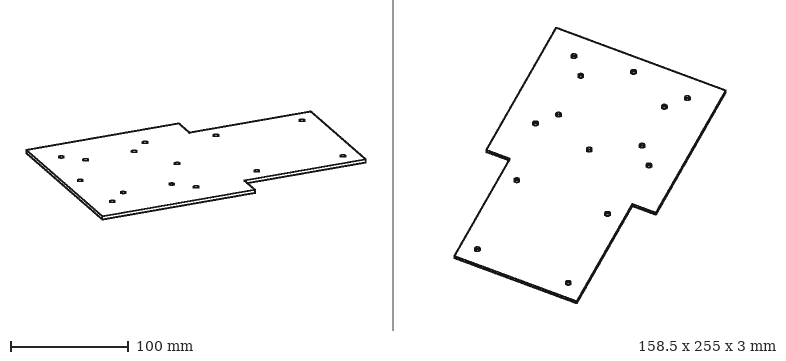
import cadquery as cq

length = 255.0
body_width = 158.5
body_length = 142.0
neck_width = 114.5
thickness = 3.0

hole_diameter = 4.5

pattern_center_y = 60.0
ring_radius = 45.1
ring_hole_count = 6
body_hole_spacing_x = 106.0
body_hole_spacing_y = 78.0

neck_hole_spacing_x = 85.0
neck_hole_spacing_y = 80.0
neck_hole_end_margin = 14.8
neck_hole_center_y = length - neck_hole_end_margin - neck_hole_spacing_y / 2


def make_plate():
    """Plate centred on X, with its -Y edge at Y = 0 and its underside at Z = 0."""
    body = cq.Workplane("XY").rect(body_width, body_length).extrude(thickness)
    body = body.translate((0, body_length / 2, 0))
    neck = cq.Workplane("XY").rect(neck_width, length).extrude(thickness)
    neck = neck.translate((0, length / 2, 0))
    return body.union(neck)


def hole_plane(center_y):
    return cq.Workplane("XY", origin=(0, center_y, 0))


def corner_holes(center_y, spacing_x, spacing_y):
    """Four cutting cylinders at the corners of a rectangle."""
    corners = hole_plane(center_y).rarray(spacing_x, spacing_y, 2, 2)
    return corners.circle(hole_diameter / 2).extrude(thickness)


def ring_holes():
    """Cutting cylinders evenly spaced on a circle, the first on the +Y side."""
    ring = hole_plane(pattern_center_y).polarArray(ring_radius, 90, 360, ring_hole_count)
    return ring.circle(hole_diameter / 2).extrude(thickness)


result = (
    make_plate()
    .cut(ring_holes())
    .cut(corner_holes(pattern_center_y, body_hole_spacing_x, body_hole_spacing_y))
    .cut(corner_holes(neck_hole_center_y, neck_hole_spacing_x, neck_hole_spacing_y))
)